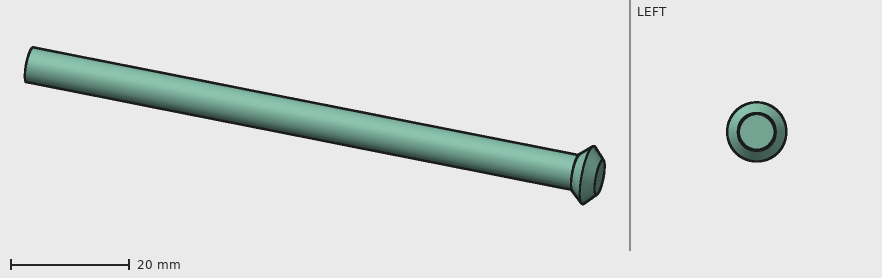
import cadquery as cq

total_length = 100.0
shank_diameter = 6.0
head_diameter = 10.0
head_base_diameter = 6.4
head_end_diameter = 6.0
head_length = 4.1
head_crown_length = 2.0

tip_x = -total_length / 2
end_x = total_length / 2
rim_x = end_x - head_crown_length
head_start_x = end_x - head_length

shank_radius = shank_diameter / 2
rim_radius = head_diameter / 2
base_radius = head_base_diameter / 2
end_radius = head_end_diameter / 2

profile = (
    cq.Workplane("XZ")
    .moveTo(tip_x, 0)
    .lineTo(tip_x, shank_radius)
    .lineTo(head_start_x, shank_radius)
    .lineTo(head_start_x, base_radius)
    .lineTo(rim_x, rim_radius)
    .lineTo(end_x, end_radius)
    .lineTo(end_x, 0)
    .close()
)
result = profile.revolve(360, (0, 0, 0), (1, 0, 0))